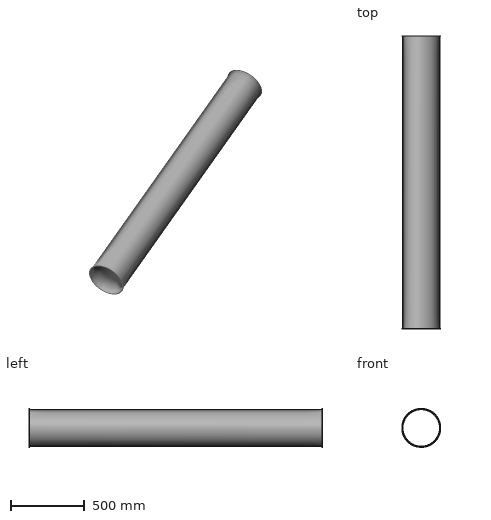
import cadquery as cq

length = 1988.0
bore_diameter = 248.0
tube_diameter = 252.0
lip_diameter = 265.0
lip_thickness = 2.0


def cylinder_along_y(diameter, start_y, extent):
    """Solid cylinder running from start_y toward +Y."""
    plane = cq.Workplane("XZ", origin=(0, start_y, 0))
    return plane.circle(diameter / 2).extrude(-extent)


back_y = length / 2
front_y = -back_y

body = cylinder_along_y(tube_diameter, front_y, length)

for lip_start in (front_y, back_y - lip_thickness):
    body = body.union(cylinder_along_y(lip_diameter, lip_start, lip_thickness))

result = body.cut(cylinder_along_y(bore_diameter, front_y, length))